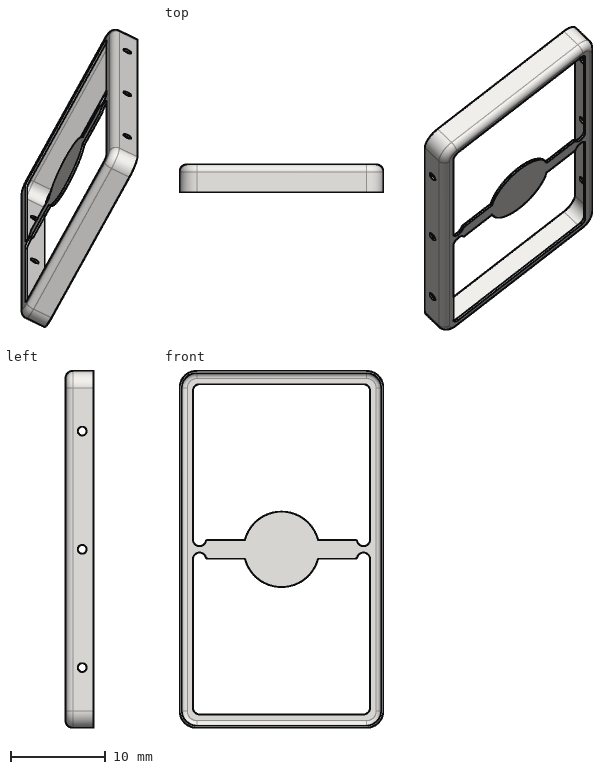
import cadquery as cq

width = 21.6
depth = 3.0
height = 37.8
corner_radius = 1.8
rim_radius = 0.8
wall = 0.245
floor = wall
inner_rim_radius = rim_radius - floor

window_inset = 1.45
window_radius = 0.68
window_width = width - 2 * window_inset
window_height = height - 2 * window_inset

bar_height = 2.0
disc_diameter = 8.0
notch_radius = window_radius
neck_half_height = 0.35
bar_corner_radius = 0.23

hole_diameter = 0.9
holes_per_side = 3
hole_spacing = 12.5
hole_from_open_side = 1.2

open_y = -depth / 2
back_y = depth / 2
floor_y = back_y - floor


def rounded_block(block_width, block_height, radius, start_y, end_y):
    """Block along Y between two planes, with its four Y edges rounded."""
    return (
        cq.Workplane("XZ", origin=(0, start_y, 0))
        .rect(block_width, block_height)
        .extrude(start_y - end_y)
        .edges("|Y")
        .fillet(radius)
    )


def make_tray():
    outside = rounded_block(width, height, corner_radius, open_y, back_y)
    outside = outside.faces(">Y").edges().fillet(rim_radius)
    cavity = rounded_block(
        width - 2 * wall, height - 2 * wall, corner_radius - wall, open_y, floor_y
    )
    cavity = cavity.faces(">Y").edges().fillet(inner_rim_radius)
    return outside.cut(cavity)


def make_bar():
    """Full-width bar whose ends are necked by two round notches each."""
    notch_x = window_width / 2 - notch_radius
    notch_z = neck_half_height + notch_radius
    bar = cq.Workplane("XZ", origin=(0, floor_y, 0)).rect(window_width, bar_height).extrude(-floor)
    notches = (
        cq.Workplane("XZ", origin=(0, floor_y, 0))
        .rect(2 * notch_x, 2 * notch_z, forConstruction=True)
        .vertices()
        .circle(notch_radius)
        .extrude(-floor)
    )
    bar = bar.cut(notches)
    inner_corners = cq.selectors.BoxSelector(
        (-notch_x, open_y, -bar_height), (notch_x, depth, bar_height)
    )
    bar = bar.edges("|Y").edges(inner_corners)
    bar = bar.fillet(bar_corner_radius)
    disc = cq.Workplane("XZ", origin=(0, floor_y, 0)).circle(disc_diameter / 2).extrude(-floor)
    return bar.union(disc)


def make_side_holes():
    hole_y = open_y + hole_from_open_side
    return (
        cq.Workplane("YZ", origin=(-width / 2, hole_y, 0))
        .rarray(0.38, hole_spacing, 1, holes_per_side)
        .circle(hole_diameter / 2)
        .extrude(width)
    )


window = rounded_block(window_width, window_height, window_radius, floor_y, back_y)
result = make_tray().cut(window).union(make_bar()).cut(make_side_holes())